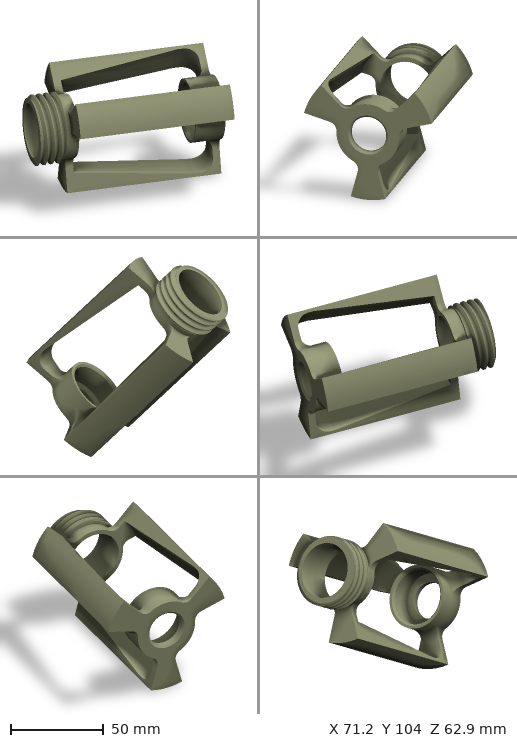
import cadquery as cq
import math

TOTAL_LENGTH = 104.0
CUT_MARGIN = 2.1

THREAD_LENGTH = 15.1
FULL_TURNS = 4
FULL_TURNS_LENGTH = 16.0
THREAD_PITCH = FULL_TURNS_LENGTH / FULL_TURNS
THREAD_CREST_RADIUS = 38.7 / 2
THREAD_ROOT_RADIUS = 34.1 / 2
CREST_WIDTH = 0.4
ROOT_GAP = 0.4
RIDGE_OVERLAP = 0.2
THREAD_START = 0.05

COLLAR_RADIUS = 35.0 / 2
COLLAR_TOP = 22.0
RING_BOTTOM = 87.4
WIDE_BORE_RADIUS = 30.0 / 2
NARROW_BORE_RADIUS = 20.0 / 2
RING_BORE_TOP = 99.9
BORE_CHAMFER = 1.0

FIN_COUNT = 3
FIN_BOTTOM = 17.7
FIN_RADIUS = 73.7 / 2
FIN_HALF_ANGLE = 15.0
FIRST_FIN_ANGLE = 30.0
FIN_ROOT_FILLET = 5.0

WINDOW_TOP = 99.9
WINDOW_INNER_ROUND = 5.0
WINDOW_OUTER_ROUND = 7.5
WINDOW_MAX_RADIUS = 35.0
WINDOW_TAPER_START = 89.2
WINDOW_LOW_RADIUS = 26.1


def cylinder(radius, start, end):
    """Cylinder about the Y axis between two Y positions."""
    return cq.Workplane("XZ", origin=(0, start, 0)).circle(radius).extrude(start - end)


def polar(radius, degrees):
    angle = math.radians(degrees)
    return (radius * math.cos(angle), radius * math.sin(angle))


def fin(center_angle):
    """Sector-shaped fin whose flanks blend into the collar with concave arcs."""
    blend_distance = COLLAR_RADIUS + FIN_ROOT_FILLET
    blend_angle = math.degrees(math.asin(FIN_ROOT_FILLET / blend_distance))
    flank_start = math.sqrt(blend_distance**2 - FIN_ROOT_FILLET**2)
    foot_angle = FIN_HALF_ANGLE + blend_angle
    foot_direction = polar(1, foot_angle)
    blend_center = polar(blend_distance, foot_angle)
    mid_direction = foot_angle + 180 + (90 - blend_angle) / 2
    offset = polar(FIN_ROOT_FILLET, mid_direction)
    blend_mid = (blend_center[0] + offset[0], blend_center[1] + offset[1])
    foot = (COLLAR_RADIUS * foot_direction[0], COLLAR_RADIUS * foot_direction[1])
    flank = polar(flank_start, FIN_HALF_ANGLE)
    tip = polar(FIN_RADIUS, FIN_HALF_ANGLE)

    def mirrored(point):
        return (point[0], -point[1])

    return (
        cq.Workplane("XZ", origin=(0, FIN_BOTTOM, 0))
        .moveTo(0, 0)
        .lineTo(*foot)
        .threePointArc(blend_mid, flank)
        .lineTo(*tip)
        .threePointArc((FIN_RADIUS, 0), mirrored(tip))
        .lineTo(*mirrored(flank))
        .threePointArc(mirrored(blend_mid), mirrored(foot))
        .close()
        .extrude(FIN_BOTTOM - TOTAL_LENGTH)
        .rotate((0, 0, 0), (0, 1, 0), -center_angle)
    )


def window():
    """Revolved void: rounded and straight at the ring end, then tapering inward toward the collar."""
    inner_center = (COLLAR_RADIUS + WINDOW_INNER_ROUND, WINDOW_TOP - WINDOW_INNER_ROUND)
    outer_center = (WINDOW_MAX_RADIUS - WINDOW_OUTER_ROUND, WINDOW_TOP - WINDOW_OUTER_ROUND)

    def on_round(center, radius, degrees):
        offset = polar(radius, degrees)
        return (center[0] + offset[0], center[1] + offset[1])

    return (
        cq.Workplane("XY")
        .moveTo(0, COLLAR_TOP)
        .lineTo(WINDOW_LOW_RADIUS, COLLAR_TOP)
        .lineTo(WINDOW_MAX_RADIUS, WINDOW_TAPER_START)
        .lineTo(WINDOW_MAX_RADIUS, outer_center[1])
        .threePointArc(
            on_round(outer_center, WINDOW_OUTER_ROUND, 45),
            (outer_center[0], WINDOW_TOP),
        )
        .lineTo(inner_center[0], WINDOW_TOP)
        .threePointArc(
            on_round(inner_center, WINDOW_INNER_ROUND, 135),
            (COLLAR_RADIUS, inner_center[1]),
        )
        .lineTo(COLLAR_RADIUS, RING_BOTTOM)
        .lineTo(0, RING_BOTTOM)
        .close()
        .revolve(360, (0, 0, 0), (0, 1, 0))
    )


def thread():
    """Right-hand helical ridge on its root cylinder, cut square at both ends."""
    half_crest = CREST_WIDTH / 2
    half_root = (THREAD_PITCH - ROOT_GAP) / 2
    flank_slope = (half_root - half_crest) / (THREAD_CREST_RADIUS - THREAD_ROOT_RADIUS)
    base_radius = THREAD_ROOT_RADIUS - RIDGE_OVERLAP
    half_base = half_root + RIDGE_OVERLAP * flank_slope
    helix = cq.Wire.makeHelix(THREAD_PITCH, THREAD_LENGTH + 2 * THREAD_PITCH, THREAD_ROOT_RADIUS)
    ridge = (
        cq.Workplane("XZ")
        .polyline([
            (base_radius, -half_base),
            (THREAD_CREST_RADIUS, -half_crest),
            (THREAD_CREST_RADIUS, half_crest),
            (base_radius, half_base),
        ])
        .close()
        .sweep(cq.Workplane(helix), isFrenet=True)
        .rotate((0, 0, 0), (1, 0, 0), -90)
        .translate((0, THREAD_START - THREAD_PITCH, 0))
    )
    core = cylinder(THREAD_ROOT_RADIUS, -2 * THREAD_PITCH, THREAD_LENGTH + 2 * THREAD_PITCH)
    envelope = cylinder(THREAD_CREST_RADIUS + CUT_MARGIN, 0, THREAD_LENGTH)
    return core.union(ridge).intersect(envelope)


def ring_bore():
    """Stepped through bore of the ring, chamfered at both mouths."""
    return (
        cq.Workplane("XY")
        .polyline([
            (0, RING_BOTTOM),
            (WIDE_BORE_RADIUS + BORE_CHAMFER, RING_BOTTOM),
            (WIDE_BORE_RADIUS, RING_BOTTOM + BORE_CHAMFER),
            (WIDE_BORE_RADIUS, RING_BORE_TOP),
            (NARROW_BORE_RADIUS, RING_BORE_TOP),
            (NARROW_BORE_RADIUS, TOTAL_LENGTH - BORE_CHAMFER),
            (NARROW_BORE_RADIUS + BORE_CHAMFER, TOTAL_LENGTH),
            (0, TOTAL_LENGTH),
        ])
        .close()
        .revolve(360, (0, 0, 0), (0, 1, 0))
    )


body = cylinder(COLLAR_RADIUS, THREAD_LENGTH, TOTAL_LENGTH)
for index in range(FIN_COUNT):
    body = body.union(fin(FIRST_FIN_ANGLE + index * 360 / FIN_COUNT))

body = body.cut(window()).union(thread())
body = body.cut(cylinder(WIDE_BORE_RADIUS, -CUT_MARGIN, COLLAR_TOP + CUT_MARGIN))
result = body.cut(ring_bore())